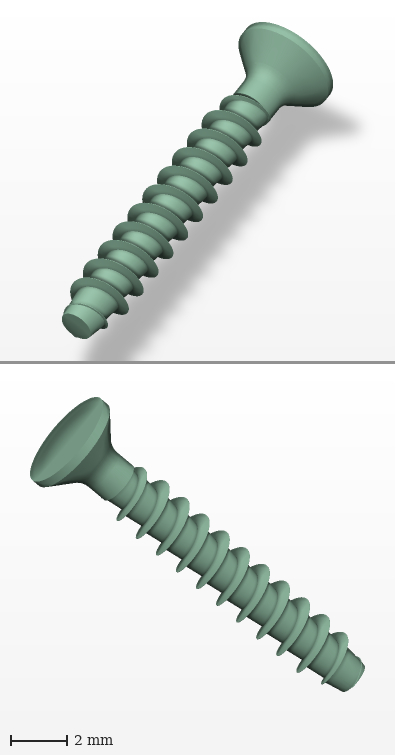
import cadquery as cq
import math


length = 14.0
head_diameter = 3.8
rim_height = 0.34
shank_radius = 0.8
shank_end = 2.55
neck_fillet = 0.84
half_cone = math.radians(45)

pitch = 0.98
first_crest = 2.49
crest_radius = 1.12
crest_half_width = 0.007
flank_slope = 0.31

run_in_start = 2.42
run_in_end = 3.68
run_in_radius = 0.78
run_in_exponent = 0.6
run_out_start = 12.53
run_out_end = 13.8
run_out_radius = 0.67
least_ridge_height = 0.01

core_high_radius = 0.75
core_low_radius = 0.66
tip_radius = 0.62
tip_taper = 0.2

rod_start = 1.12
rod_turns = 14
points_per_turn = 16
tangent_step = 0.0001


def core_limit(radius, depth):
    """Core radius, reduced where the tip cone is narrower."""
    return min(radius, tip_radius + tip_taper * (length - depth))


def crest_height(depth):
    """Crest radius with the run-in, the full thread and the run-out."""
    if depth < run_out_start:
        start, end, low, high = run_in_start, run_in_end, run_in_radius, crest_radius
        exponent = run_in_exponent
    else:
        start, end, low, high = run_out_start, run_out_end, crest_radius, run_out_radius
        exponent = 1
    share = min(max((depth - start) / (end - start), 0), 1)
    return low + (high - low) * share ** exponent


def thread_section(depth):
    """(radius, depth) corners of one turn: root, both crest corners, far root, next root."""
    near_root = []
    for middle in (depth, depth + pitch):
        high = core_limit(core_high_radius, middle)
        low = core_limit(core_low_radius, middle)
        top = max(crest_height(middle), high + least_ridge_height)
        near_root.append((low, middle - crest_half_width - flank_slope * (top - low)))
        if middle == depth:
            ridge = [
                (top, middle - crest_half_width),
                (top, middle + crest_half_width),
                (high, middle + crest_half_width + flank_slope * (top - high)),
            ]
    return [near_root[0], *ridge, near_root[1]]


def helix_point(radius, depth, middle):
    """Point at a depth, turned to the direction where the thread's middle is."""
    angle = 2 * math.pi * (middle - first_crest) / pitch
    return cq.Vector(radius * math.cos(angle), -depth, radius * math.sin(angle))


def section_points(middle):
    return [helix_point(r, depth, middle) for r, depth in thread_section(middle)]


def turn_edges(start):
    """One full turn of each corner's helical path."""
    rings = [
        section_points(start + pitch * i / points_per_turn)
        for i in range(points_per_turn + 1)
    ]
    tangents = []
    for middle in (start, start + pitch):
        before = section_points(middle - tangent_step)
        after = section_points(middle + tangent_step)
        tangents.append([(b - a).normalized() for a, b in zip(before, after)])
    return [
        cq.Edge.makeSpline(list(path), tangents=list(ends), scale=False)
        for path, ends in zip(zip(*rings), zip(*tangents))
    ]


def end_faces(edge, profile):
    """Close an end of the rod: a helicoid from the axis and a flat radial step."""
    first, last = edge.startPoint(), edge.endPoint()
    axis_first = cq.Vector(0, first.y, 0)
    axis_last = cq.Vector(0, last.y, 0)
    helicoid = cq.Face.makeRuledSurface(cq.Edge.makeLine(axis_first, axis_last), edge)
    outline = cq.Wire.makePolygon([axis_first, *profile, axis_last], close=True)
    return [helicoid, cq.Face.makeFromWires(outline)]


def threaded_rod():
    """Closed helical solid of core and thread, longer than needed at both ends."""
    rod_end = rod_start + rod_turns * pitch
    faces = []
    for turn in range(rod_turns):
        edges = turn_edges(rod_start + turn * pitch)
        if turn == 0:
            faces += end_faces(edges[0], section_points(rod_start))
        for edge, following in zip(edges, edges[1:]):
            faces.append(cq.Face.makeRuledSurface(edge, following))
    faces += end_faces(edges[-1], section_points(rod_end))
    solid = cq.Solid.makeSolid(cq.Shell.makeShell(faces))
    return cq.Workplane(obj=solid.fix())


def head_and_shank():
    head_radius = head_diameter / 2
    fillet_end_radius = shank_radius + neck_fillet * (1 - math.cos(half_cone))
    cone_end = rim_height + (head_radius - fillet_end_radius) / math.tan(half_cone)
    fillet_end = cone_end + neck_fillet * math.sin(half_cone)
    middle_angle = half_cone / 2
    fillet_middle = (
        shank_radius + neck_fillet * (1 - math.cos(middle_angle)),
        -(fillet_end - neck_fillet * math.sin(middle_angle)),
    )
    return (
        cq.Workplane("XY")
        .lineTo(head_radius, 0)
        .lineTo(head_radius, -rim_height)
        .lineTo(fillet_end_radius, -cone_end)
        .threePointArc(fillet_middle, (shank_radius, -fillet_end))
        .lineTo(shank_radius, -shank_end)
        .lineTo(0, -shank_end)
        .close()
        .revolve(360, (0, 0, 0), (0, 1, 0))
    )


beyond_tip = cq.Workplane("XZ", origin=(0, -length, 0)).circle(head_diameter).extrude(length)

result = head_and_shank().union(threaded_rod().cut(beyond_tip))